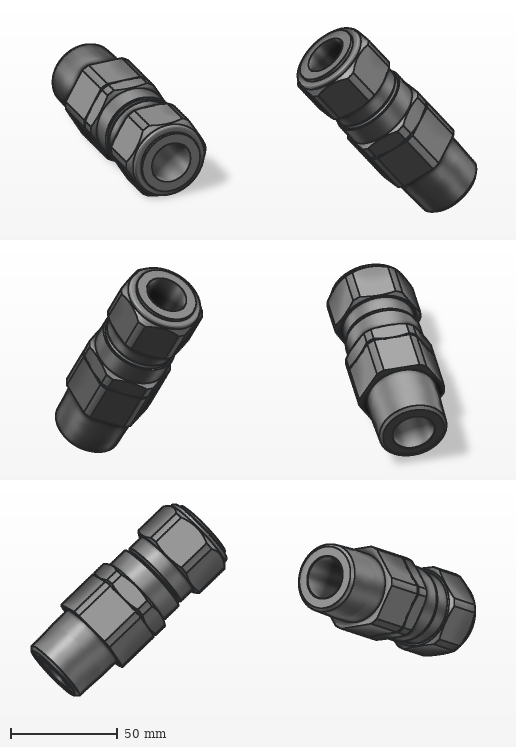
import cadquery as cq
import math

LENGTH = 98.65
ACROSS_FLATS = 37.5
CORNER_RADIUS = 20.6
BORE_RADIUS = 10.1
BORE_CHAMFER = 0.3

TIP_RADIUS = 16.3
TIP_CHAMFER = 1.5
TAPER_END = 16.1
SPIGOT_RADIUS = 16.8

PLAIN_HEX_START = 25.4
PLAIN_HEX_END = 46.1
BODY_HEX_END = 54.85
BODY_HEX_LEFT_RADIUS = 18.6
WIDE_COLLAR_RADIUS = 18.25
WIDE_COLLAR_END = 64.8
NARROW_COLLAR_RADIUS = 17.4
GROOVE_BOTTOM = 65.8
GROOVE_END = 67.0
GROOVE_RIM_RADIUS = 17.3
GROOVE_FLOOR_RADIUS = 16.2

NUT_START = 74.8
NUT_LEFT_RADIUS = 18.4
RIM_START = 95.1
RIM_RADIUS = WIDE_COLLAR_RADIUS
RIM_END = 97.1
RIM_ROUNDING = 1.1
STUB_RADIUS = 15.0

SHALLOW_CHAMFER = math.tan(math.radians(30))
NUT_RIGHT_CHAMFER = math.tan(math.radians(45))


def turned(profile):
    """Revolve (x, radius) points, from left to right into a solid about X."""
    first_x = profile[0][0]
    last_x = profile[-1][0]
    outline = [(first_x, 0)] + profile + [(last_x, 0)]
    return cq.Workplane("XY").polyline(outline).close().revolve(360, (0, 0, 0), (1, 0, 0))


def cylinder(start, end, radius):
    """Round bar along X."""
    return cq.Workplane("YZ").workplane(offset=start).circle(radius).extrude(end - start)


def hexagon(start, end):
    """Hexagonal bar along X with flats facing up and down."""
    across_corners = ACROSS_FLATS / math.cos(math.radians(30))
    return cq.Workplane("YZ").workplane(offset=start).polygon(6, across_corners).extrude(end - start)


def turned_hexagon(start, end, left_radius, right_radius, left_slope, right_slope):
    """Hexagon with its corners turned round and both ends chamfered to the given radii."""
    envelope = turned([
        (start, left_radius),
        (start + (CORNER_RADIUS - left_radius) * left_slope, CORNER_RADIUS),
        (end - (CORNER_RADIUS - right_radius) * right_slope, CORNER_RADIUS),
        (end, right_radius),
    ])
    return hexagon(start, end).intersect(envelope)


core = turned([
    (0, TIP_RADIUS - TIP_CHAMFER),
    (TIP_CHAMFER, TIP_RADIUS),
    (TAPER_END, SPIGOT_RADIUS),
    (PLAIN_HEX_END, SPIGOT_RADIUS),
    (PLAIN_HEX_END, WIDE_COLLAR_RADIUS),
    (WIDE_COLLAR_END, WIDE_COLLAR_RADIUS),
    (WIDE_COLLAR_END, GROOVE_RIM_RADIUS),
    (GROOVE_BOTTOM, GROOVE_FLOOR_RADIUS),
    (GROOVE_END, GROOVE_RIM_RADIUS),
    (GROOVE_END, NARROW_COLLAR_RADIUS),
    (NUT_START, NARROW_COLLAR_RADIUS),
    (NUT_START, STUB_RADIUS),
    (LENGTH, STUB_RADIUS),
])

rim = cylinder(RIM_START, RIM_END, RIM_RADIUS).faces(">X").edges().fillet(RIM_ROUNDING)

plain_hex = hexagon(PLAIN_HEX_START, PLAIN_HEX_END).intersect(
    cylinder(PLAIN_HEX_START, PLAIN_HEX_END, CORNER_RADIUS)
)
body_hex = turned_hexagon(
    PLAIN_HEX_END, BODY_HEX_END, BODY_HEX_LEFT_RADIUS, WIDE_COLLAR_RADIUS,
    SHALLOW_CHAMFER, SHALLOW_CHAMFER,
)
nut = turned_hexagon(
    NUT_START, RIM_START, NUT_LEFT_RADIUS, RIM_RADIUS, SHALLOW_CHAMFER, NUT_RIGHT_CHAMFER
)

bore = turned([
    (0, BORE_RADIUS + BORE_CHAMFER),
    (BORE_CHAMFER, BORE_RADIUS),
    (LENGTH, BORE_RADIUS),
])

result = core.union(plain_hex).union(body_hex).union(nut).union(rim).cut(bore)